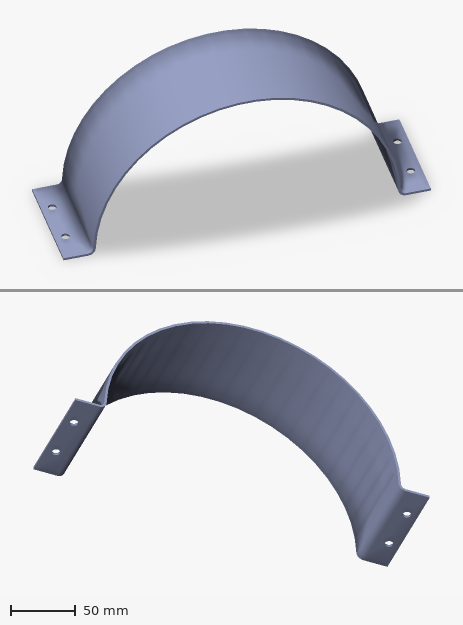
import cadquery as cq
import math

length = 296.0
width = 86.0
height = 126.0
thickness = 2.0
bend_radius = 4.0
hole_diameter = 6.5
hole_spacing = 36.5
hole_edge_distance = 9.0

arch_radius = height - thickness
half_length = length / 2
bend_center_z = thickness + bend_radius
bend_center_y = math.sqrt((arch_radius + bend_radius) ** 2 - bend_radius ** 2)

bend_angle = math.asin(bend_radius / (arch_radius + bend_radius))


def arch_point(radius, angle):
    """Point (y, z) at an angle around the arch centre."""
    return radius * math.cos(angle), thickness + radius * math.sin(angle)


def bend_middle(radius, side):
    """Middle point (y, z) of a bend arc on the side +1 or -1 of the arch."""
    angle = (math.pi / 2 + bend_angle) / 2
    y = bend_center_y - radius * math.cos(angle)
    return side * y, bend_center_z - radius * math.sin(angle)


def mirrored(point):
    return -point[0], point[1]


def make_strip():
    """Arch, bends and flanges as one bent sheet, extruded along X."""
    outer_end = arch_point(arch_radius, bend_angle)
    inner_radius = arch_radius - thickness
    inner_end = arch_point(inner_radius, bend_angle)
    lower_bend_radius = bend_radius + thickness
    profile = (
        cq.Workplane("YZ", origin=(-width / 2, 0, 0))
        .moveTo(-half_length, 0)
        .lineTo(-half_length, thickness)
        .lineTo(-bend_center_y, thickness)
        .threePointArc(bend_middle(bend_radius, -1), mirrored(outer_end))
        .threePointArc((0, height), outer_end)
        .threePointArc(bend_middle(bend_radius, 1), (bend_center_y, thickness))
        .lineTo(half_length, thickness)
        .lineTo(half_length, 0)
        .lineTo(bend_center_y, 0)
        .threePointArc(bend_middle(lower_bend_radius, 1), inner_end)
        .threePointArc((0, height - thickness), mirrored(inner_end))
        .threePointArc(bend_middle(lower_bend_radius, -1), (-bend_center_y, 0))
        .close()
    )
    return profile.extrude(width)


def make_flange_holes():
    """Cutters for the two mounting holes in each flange."""
    row_spacing = length - 2 * hole_edge_distance
    return (
        cq.Workplane("XY")
        .rarray(hole_spacing, row_spacing, 2, 2)
        .circle(hole_diameter / 2)
        .extrude(thickness)
    )


result = make_strip().cut(make_flange_holes())